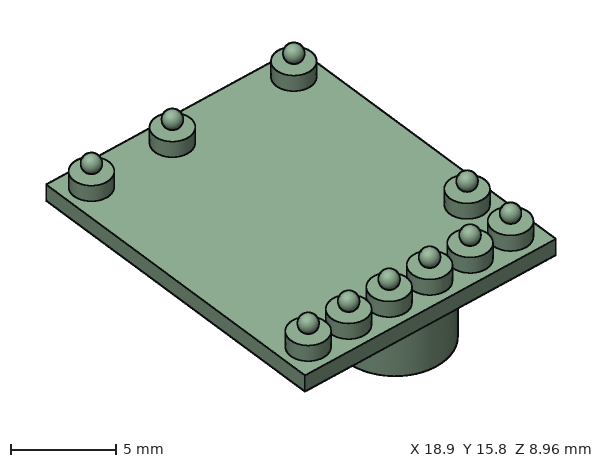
import cadquery as cq

plate_x = 18.92
plate_y = 15.75
plate_thickness = 1.0

post_diameter = 6.0
post_length = 6.0
post_x = 3.54
post_y = 2.86

pad_diameter = 2.18
pad_height = 0.96
ball_diameter = 1.04
ball_sink = 0.04

pitch = 2.54
row_count = 6
column_x = 7.92
left_rows = (0, 3, 5)
inner_contact_gap = 1.25 * pitch

top_row_y = (row_count - 1) / 2 * pitch
row_y = [top_row_y - row * pitch for row in range(row_count)]

right_column = [(column_x, y) for y in row_y]
left_column = [(-column_x, row_y[row]) for row in left_rows]
inner_contact = (column_x - inner_contact_gap, top_row_y)
contact_points = right_column + left_column + [inner_contact]


def make_plate():
    return cq.Workplane("XY").box(plate_x, plate_y, plate_thickness, centered=(True, True, False))


def make_post():
    return cq.Workplane("XY").center(post_x, post_y).circle(post_diameter / 2).extrude(-post_length)


def make_contact(x, y):
    pad_top = plate_thickness + pad_height
    ball_centre_z = pad_top - ball_sink + ball_diameter / 2
    pad = (
        cq.Workplane("XY", origin=(x, y, plate_thickness))
        .circle(pad_diameter / 2)
        .extrude(pad_height)
    )
    ball = cq.Workplane("XY", origin=(x, y, ball_centre_z)).sphere(ball_diameter / 2)
    return pad.union(ball)


result = make_plate().union(make_post())
for x, y in contact_points:
    result = result.union(make_contact(x, y))